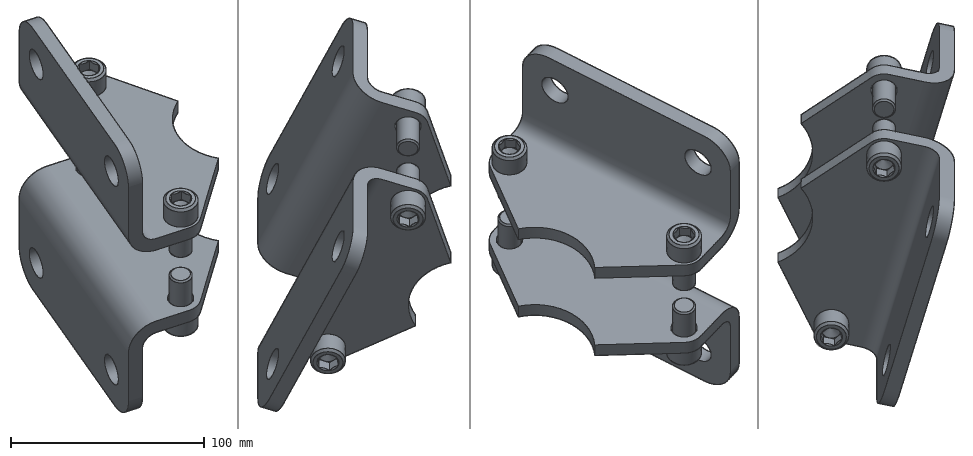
import cadquery as cq
import math


total_height = 184.0
width = 131.0
depth = 71.4
bracket_height = 67.0

thickness = 8.1
inner_bend_radius = 8.0
outer_bend_radius = inner_bend_radius + thickness
top_corner_radius = 16.5
mount_hole_diameter = 16.5
mount_hole_x = 45.0
mount_hole_from_top = 22.0
saddle_half_width = 24.1
saddle_depth = 11.5

screw_x = 55.0
screw_y = 35.0
screw_hole_diameter = 13.5
shank_diameter = 12.0
shank_length = 25.0
shank_chamfer = 1.0
head_diameter = 18.0
head_height = 12.0
head_chamfer = 1.3
socket_across_flats = 10.0
socket_depth = 6.0
socket_tip_angle = 120.0
socket_mouth_angle = 90.0

top_z = total_height / 2
shelf_bottom_z = top_z - bracket_height
shelf_top_z = shelf_bottom_z + thickness
shelf_corner_radius = width / 2 - screw_x
screw_places = [(-screw_x, screw_y), (screw_x, screw_y)]


def angle_section():
    """L-shaped bent sheet, extruded across the full width."""
    sheet = (
        cq.Workplane("YZ")
        .moveTo(0, top_z)
        .lineTo(0, shelf_bottom_z)
        .lineTo(depth, shelf_bottom_z)
        .lineTo(depth, shelf_top_z)
        .lineTo(thickness, shelf_top_z)
        .lineTo(thickness, top_z)
        .close()
        .extrude(width / 2, both=True)
    )
    outer_corner = cq.selectors.NearestToPointSelector((0, 0, shelf_bottom_z))
    inner_corner = cq.selectors.NearestToPointSelector((0, thickness, shelf_top_z))
    sheet = sheet.edges("|X").edges(outer_corner).fillet(outer_bend_radius)
    return sheet.edges("|X").edges(inner_corner).fillet(inner_bend_radius)


def shelf_outline():
    """Plan shape: shoulders rounded about the screws, sloping up to a round saddle."""
    to_tip_x = saddle_half_width - screw_x
    to_tip_y = depth - screw_y
    to_tip = math.hypot(to_tip_x, to_tip_y)
    tangent_angle = math.atan2(to_tip_y, to_tip_x) - math.acos(shelf_corner_radius / to_tip)

    def shoulder_point(angle):
        return (
            screw_x + shelf_corner_radius * math.cos(angle),
            screw_y + shelf_corner_radius * math.sin(angle),
        )

    tangent_x, tangent_y = shoulder_point(tangent_angle)
    middle_x, middle_y = shoulder_point(tangent_angle / 2)
    return (
        cq.Workplane("XY")
        .moveTo(-width / 2, 0)
        .lineTo(width / 2, 0)
        .lineTo(width / 2, screw_y)
        .threePointArc((middle_x, middle_y), (tangent_x, tangent_y))
        .lineTo(saddle_half_width, depth)
        .threePointArc((0, depth - saddle_depth), (-saddle_half_width, depth))
        .lineTo(-tangent_x, tangent_y)
        .threePointArc((-middle_x, middle_y), (-width / 2, screw_y))
        .close()
    )


def make_bracket():
    """Upper bracket, with its upright plate pointing up."""
    bracket = angle_section().intersect(shelf_outline().extrude(top_z))
    bracket = bracket.edges("|Y").edges(">Z").fillet(top_corner_radius)

    mount_hole_z = top_z - mount_hole_from_top
    mount_holes = (
        cq.Workplane("XZ")
        .pushPoints([(-mount_hole_x, mount_hole_z), (mount_hole_x, mount_hole_z)])
        .circle(mount_hole_diameter / 2)
        .extrude(-thickness)
    )
    screw_holes = (
        cq.Workplane("XY", origin=(0, 0, shelf_bottom_z))
        .pushPoints(screw_places)
        .circle(screw_hole_diameter / 2)
        .extrude(thickness)
    )
    return bracket.cut(mount_holes).cut(screw_holes)


def cone(radius, angle):
    """Downward-pointing cone of the given full tip angle, its base on the top of the screw head."""
    height = radius / math.tan(math.radians(angle / 2))
    profile = cq.Workplane("XZ").lineTo(radius, 0).lineTo(0, -height).close()
    return profile.revolve(360, (0, 0), (0, 1)).translate((0, 0, head_height))


def make_screw():
    """Socket-head screw with the underside of its head at Z = 0."""
    head = cq.Workplane("XY").circle(head_diameter / 2).extrude(head_height)
    head = head.faces(">Z").edges().chamfer(head_chamfer)
    shank = cq.Workplane("XY").circle(shank_diameter / 2).extrude(-shank_length)
    shank = shank.faces("<Z").edges().chamfer(shank_chamfer)

    across_corners = socket_across_flats / math.cos(math.pi / 6)
    socket = (
        cq.Workplane("XY", origin=(0, 0, head_height))
        .transformed(rotate=(0, 0, 90))
        .polygon(6, across_corners)
        .extrude(-socket_depth)
    )
    bottom = cone(socket_across_flats / 2, socket_tip_angle).translate((0, 0, -socket_depth))
    mouth = cone(across_corners / 2, socket_mouth_angle)
    return head.union(shank).cut(socket).cut(bottom).cut(mouth)


upper_bracket = make_bracket()
lower_bracket = upper_bracket.mirror("XY")

screws = []
for x, y in screw_places:
    upper_screw = make_screw().translate((x, y, shelf_top_z))
    lower_screw = upper_screw.mirror("XY")
    screws += [upper_screw.val(), lower_screw.val()]

result = cq.Compound.makeCompound([upper_bracket.val(), lower_bracket.val(), *screws])